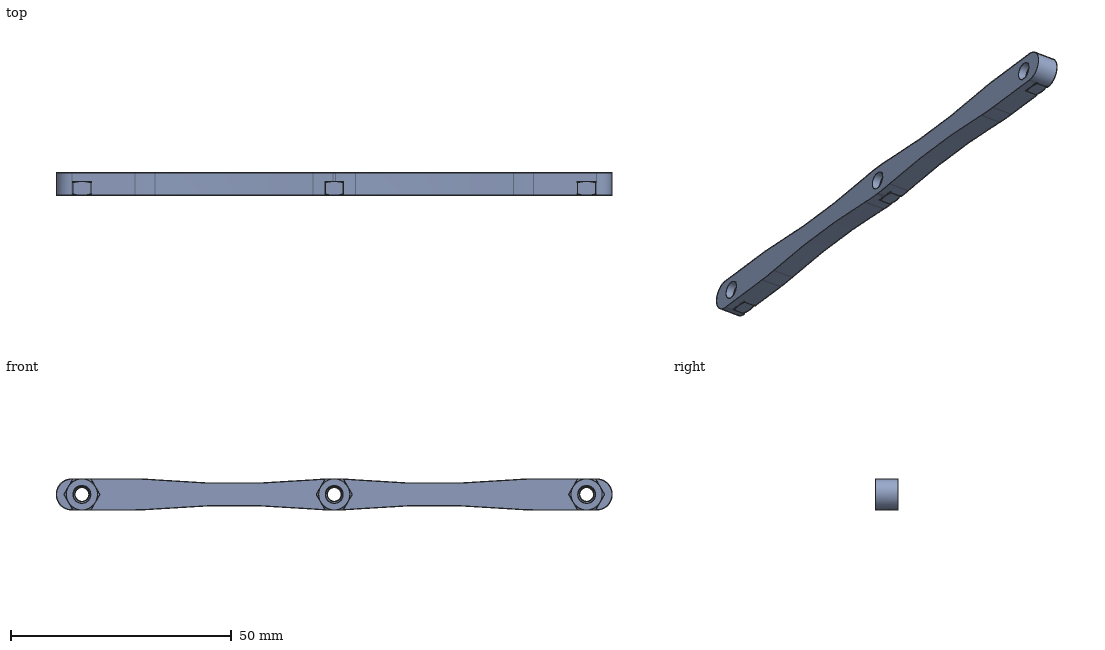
import cadquery as cq
import math

bar_length = 126.0
bar_thickness = 5.2
bar_height = 7.0
end_radius = bar_height / 2

waist_center = 22.7
waist_half_span = 22.4
waist_height = 5.0
blend_radius = 50.4
waist_drop = (bar_height - waist_height) / 2
radius_sum = (waist_half_span**2 + waist_drop**2) / (2 * waist_drop)
arc_angle = math.asin(waist_half_span / radius_sum)

nut_spacing = 57.2
nut_flats = bar_height
nut_sides = 6
nut_corners = nut_flats / math.cos(math.pi / nut_sides)
nut_thickness = 3.2
nut_face_diameter = nut_flats
corner_chamfer_angle = 30
bar_hole = 4.0

thread_minor = 3.2
thread_major = 4.0
thread_pitch = 0.7
groove_mouth = 0.6
groove_root = 0.1
thread_turns = 7
thread_lead_in = 0.83
thread_start_angle = 30
bore_overlap = 0.06
thread_depth = (thread_major - thread_minor) / 2

nut_positions = [-nut_spacing, 0, nut_spacing]


def waist_profile():
    """(distance, height) from the waist centre: blend start, blend middle, tangent point."""
    def on_blend(angle):
        return (
            waist_half_span - blend_radius * math.sin(angle),
            bar_height / 2 - blend_radius * (1 - math.cos(angle)),
        )

    return on_blend(0), on_blend(arc_angle / 2), on_blend(arc_angle)


def add_waist(outline, center, side):
    """Continue the outline over one waist; side is 1 along the top (+X), -1 along the bottom (-X)."""
    start, middle, tangent = waist_profile()

    def before(point):
        return (center - side * point[0], side * point[1])

    def after(point):
        return (center + side * point[0], side * point[1])

    return (
        outline.lineTo(*before(start))
        .threePointArc(before(middle), before(tangent))
        .threePointArc((center, side * waist_height / 2), after(tangent))
        .threePointArc(after(middle), after(start))
    )


def front_plane(x=0):
    """Workplane on the front face: local x = X, local y = Z, extruding negative goes into +Y."""
    return cq.Workplane("XZ", origin=(x, 0, 0))


def make_bar():
    """Round-ended bar with two waists and, for each nut, a hex pocket and a hole through its floor."""
    end_center = bar_length / 2 - end_radius
    outline = front_plane().moveTo(-end_center, end_radius)
    for center in (-waist_center, waist_center):
        outline = add_waist(outline, center, 1)
    outline = outline.lineTo(end_center, end_radius)
    outline = outline.threePointArc((bar_length / 2, 0), (end_center, -end_radius))
    for center in (waist_center, -waist_center):
        outline = add_waist(outline, center, -1)
    outline = outline.lineTo(-end_center, -end_radius)
    outline = outline.threePointArc((-bar_length / 2, 0), (-end_center, end_radius))
    bar = outline.close().extrude(-bar_thickness)
    for x in nut_positions:
        pocket = front_plane(x).polygon(nut_sides, nut_corners).extrude(-nut_thickness)
        hole = front_plane(x).circle(bar_hole / 2).extrude(-bar_thickness)
        bar = bar.cut(pocket).cut(hole)
    return bar.solids()


def corner_chamfer_envelope():
    """Turned shape about Z, conical at both ends, that trims the corners of a hex nut."""
    face_radius = nut_face_diameter / 2
    rim_radius = nut_corners / 2
    rim_depth = (rim_radius - face_radius) * math.tan(math.radians(corner_chamfer_angle))
    return (
        cq.Workplane("XZ")
        .polyline([
            (0, 0),
            (face_radius, 0),
            (rim_radius, rim_depth),
            (rim_radius, nut_thickness - rim_depth),
            (face_radius, nut_thickness),
            (0, nut_thickness),
        ])
        .close()
        .revolve(360, (0, 0, 0), (0, 1, 0))
    )


def thread_groove():
    """Helical cutter about Z whose trapezoid section narrows towards the major diameter."""
    inner_radius = thread_minor / 2 - bore_overlap
    outer_radius = thread_major / 2
    flank_taper = (groove_mouth - groove_root) / thread_depth
    inner_half = (groove_mouth + bore_overlap * flank_taper) / 2
    outer_half = groove_root / 2
    helix = cq.Wire.makeHelix(thread_pitch, thread_turns * thread_pitch, thread_minor / 2)
    groove = (
        cq.Workplane("XZ")
        .polyline([
            (inner_radius, -inner_half),
            (outer_radius, -outer_half),
            (outer_radius, outer_half),
            (inner_radius, inner_half),
        ])
        .close()
        .sweep(cq.Workplane(obj=helix), isFrenet=True)
    )
    groove = groove.translate((0, 0, -thread_lead_in))
    return groove.rotate((0, 0, 0), (0, 0, 1), thread_start_angle)


def make_nut():
    """Threaded nut at the middle of the bar, made along Z and then turned to point along +Y."""
    nut = cq.Workplane("XY").polygon(nut_sides, nut_corners).extrude(nut_thickness)
    nut = nut.intersect(corner_chamfer_envelope())
    bore = cq.Workplane("XY").circle(thread_minor / 2).extrude(nut_thickness)
    nut = nut.cut(bore)
    nut = nut.faces("<Z or >Z").edges(cq.selectors.RadiusNthSelector(0)).chamfer(thread_depth)
    nut = nut.cut(thread_groove())
    return nut.rotate((0, 0, 0), (1, 0, 0), -90).solids()


bar = make_bar()
nut = make_nut()
nuts = [nut.translate((x, 0, 0)) for x in nut_positions]

result = cq.Compound.makeCompound([bar.val(), *[placed.val() for placed in nuts]])